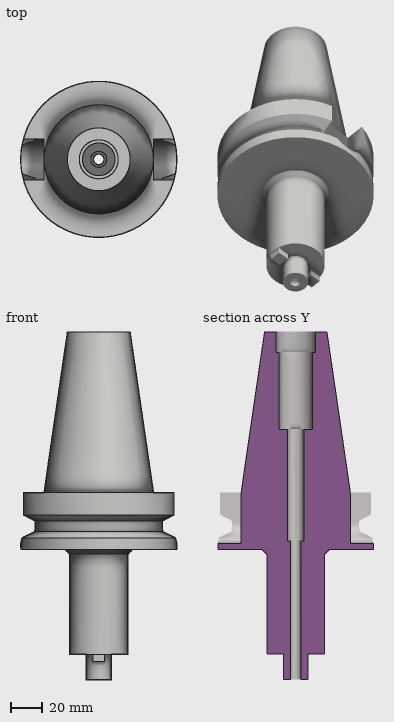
import cadquery as cq

total_height = 222.8
arbor_bottom = 16.3
neck_bottom = 80.5
flange_bottom = 83.3
flange_top = 119.9
gauge_height = 121.0
lower_rim_top = 91.0
groove_bottom = 95.0
groove_top = 101.5
upper_rim_bottom = 105.5

pin_radius = 8.0
arbor_radius = 18.7
neck_radius = arbor_radius + flange_bottom - neck_bottom
flange_radius = 50.02
groove_radius = 42.8
gauge_radius = 35.0
taper_ratio = 7 / 24
taper_top_radius = gauge_radius - (total_height - gauge_height) * taper_ratio / 2

through_bore_radius = 3.3
bore_steps = [
    (12.5, 13.0),
    (10.5, 62.4),
    (5.1, 133.7),
    (through_bore_radius, total_height),
]

slot_width = 26.3
slot_floor_offset = 35.1
slot_lowest = 87.3

key_size = 7.5
key_height = 4.7
key_outer_offset = 17.8


def make_body():
    """Revolve the outer profile, given as (radius, height), about the Z axis."""
    profile = [
        (0, 0),
        (pin_radius, 0),
        (pin_radius, arbor_bottom),
        (arbor_radius, arbor_bottom),
        (arbor_radius, neck_bottom),
        (neck_radius, flange_bottom),
        (flange_radius, flange_bottom),
        (flange_radius, lower_rim_top),
        (groove_radius, groove_bottom),
        (groove_radius, groove_top),
        (flange_radius, upper_rim_bottom),
        (flange_radius, flange_top),
        (gauge_radius, flange_top),
        (gauge_radius, gauge_height),
        (taper_top_radius, total_height),
        (0, total_height),
    ]
    return cq.Workplane("XZ").polyline(profile).close().revolve(360, (0, 0, 0), (0, 1, 0))


def make_drive_slot(side):
    """Cutter for a round-ended slot, open at the flange top, on the +X or -X side."""
    half_width = slot_width / 2
    arc_height = slot_lowest + half_width
    return (
        cq.Workplane("YZ", origin=(side * slot_floor_offset, 0, 0))
        .moveTo(-half_width, flange_top)
        .lineTo(-half_width, arc_height)
        .threePointArc((0, slot_lowest), (half_width, arc_height))
        .lineTo(half_width, flange_top)
        .close()
        .extrude(side * (flange_radius - slot_floor_offset + 2.2))
    )


def make_key(side):
    """Square key hanging from the arbor shoulder on the +Y or -Y side."""
    center = side * (key_outer_offset - key_size / 2)
    return (
        cq.Workplane("XY", origin=(0, center, arbor_bottom - key_height))
        .rect(key_size, key_size)
        .extrude(key_height)
    )


result = make_body()
for side in (-1, 1):
    result = result.cut(make_drive_slot(side))
    result = result.union(make_key(side))
for radius, depth in bore_steps:
    bore = cq.Workplane("XY", origin=(0, 0, total_height)).circle(radius).extrude(-depth)
    result = result.cut(bore)